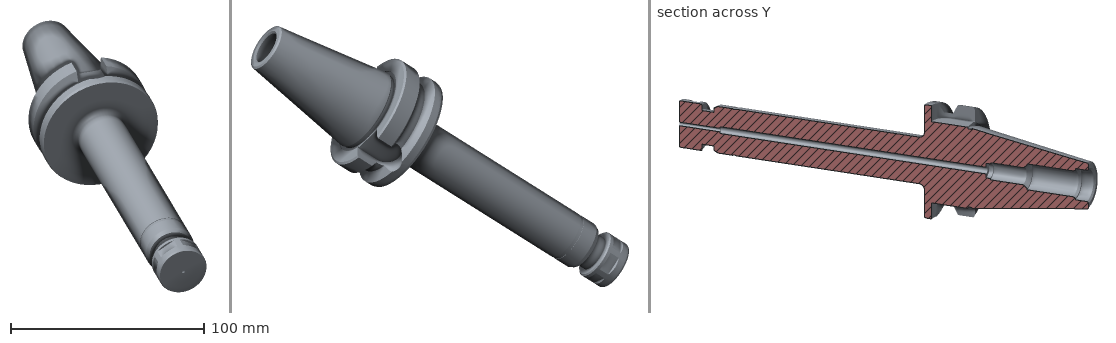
import cadquery as cq
import math


length = 230.5
gauge_x = 65.5
flange_x = 67.5
flange_end_x = 92.6
groove_center_x = 82.0
collar_x = 198.1
collar_width = 2.0
shank_end_x = 210.8
nut_x = 217.3

tip_radius = 12.7
tip_chamfer_length = 0.7
tip_chamfer_depth = 1.0
taper_slope = 7 / 48
taper_radius = tip_radius + gauge_x * taper_slope
undercut_depth = 0.5
undercut_radius = taper_radius - undercut_depth
undercut_slope = 0.7
face_recess_radius = 23.7
face_recess_depth = 0.5

flange_radius = 63.0 / 2
front_chamfer_length = 0.7
front_chamfer_depth = 1.2
rear_chamfer_length = 1.4
rear_chamfer_depth = 0.5
groove_radius = 26.5
groove_floor = 4.4
groove_wall_angle = 30
groove_run = (flange_radius - groove_radius) * math.tan(math.radians(groove_wall_angle))

slot_width = 16.1
slot_floor = 22.5
slot_end_x = 88.2

shank_radius = 26.0 / 2
shank_fillet = 2.8
collar_depth = 0.2
shank_chamfer_length = 2.3
shank_chamfer_depth = 1.2
neck_radius = 9.5

nut_radius = shank_radius
nut_back_chamfer = 0.7
nut_front_chamfer_length = 1.0
nut_front_chamfer_depth = 0.5
flat_count = 6
flat_apothem = 12.0
flat_x = 219.8
flat_end_x = 225.3
flat_runout = 0.7

mouth_radius = 9.5
entry_radius = 8.5
entry_depth = 7.4
thread_mouth_radius = 15.5 / 2
thread_chamfer_length = 1.4
thread_radius = 14.0 / 2
thread_depth = 34.5
seat_radius = 6.5
seat_end_radius = 4.5
seat_length = 2.3
pilot_end_radius = 4.0
pilot_depth = 55.3
channel_radius = 1.73
channel_depth = 207.4
outlet_radius = 0.85


def revolve_about_x(profile):
    return profile.close().revolve(360, (0, 0, 0), (1, 0, 0))


def turned_body():
    groove_start = groove_center_x - groove_floor / 2
    groove_stop = groove_center_x + groove_floor / 2
    fillet_top = shank_radius + shank_fillet
    fillet_mid = shank_fillet * (1 - math.sqrt(0.5))
    profile = (
        cq.Workplane("XY")
        .lineTo(0, tip_radius - tip_chamfer_depth)
        .lineTo(tip_chamfer_length, tip_radius + tip_chamfer_length * taper_slope)
        .lineTo(gauge_x, taper_radius)
        .lineTo(gauge_x + undercut_slope, undercut_radius)
        .lineTo(flange_x + face_recess_depth, undercut_radius)
        .lineTo(flange_x + face_recess_depth, face_recess_radius)
        .lineTo(flange_x, face_recess_radius)
        .lineTo(flange_x, flange_radius - front_chamfer_depth)
        .lineTo(flange_x + front_chamfer_length, flange_radius)
        .lineTo(groove_start - groove_run, flange_radius)
        .lineTo(groove_start, groove_radius)
        .lineTo(groove_stop, groove_radius)
        .lineTo(groove_stop + groove_run, flange_radius)
        .lineTo(flange_end_x - rear_chamfer_length, flange_radius)
        .lineTo(flange_end_x, flange_radius - rear_chamfer_depth)
        .lineTo(flange_end_x, fillet_top)
        .threePointArc(
            (flange_end_x + fillet_mid, shank_radius + fillet_mid),
            (flange_end_x + shank_fillet, shank_radius),
        )
        .lineTo(collar_x, shank_radius)
        .lineTo(collar_x, shank_radius - collar_depth)
        .lineTo(collar_x + collar_width, shank_radius - collar_depth)
        .lineTo(collar_x + collar_width, shank_radius)
        .lineTo(shank_end_x - shank_chamfer_length, shank_radius)
        .lineTo(shank_end_x, shank_radius - shank_chamfer_depth)
        .lineTo(shank_end_x, neck_radius)
        .lineTo(nut_x, neck_radius)
        .lineTo(nut_x, nut_radius - nut_back_chamfer)
        .lineTo(nut_x + nut_back_chamfer, nut_radius)
        .lineTo(length - nut_front_chamfer_length, nut_radius)
        .lineTo(length, nut_radius - nut_front_chamfer_depth)
        .lineTo(length, 0)
    )
    return revolve_about_x(profile)


def stepped_bore():
    mouth_chamfer = mouth_radius - entry_radius
    profile = (
        cq.Workplane("XY")
        .lineTo(0, mouth_radius)
        .lineTo(mouth_chamfer, entry_radius)
        .lineTo(entry_depth, entry_radius)
        .lineTo(entry_depth, thread_mouth_radius)
        .lineTo(entry_depth + thread_chamfer_length, thread_radius)
        .lineTo(thread_depth, thread_radius)
        .lineTo(thread_depth, seat_radius)
        .lineTo(thread_depth + seat_length, seat_end_radius)
        .lineTo(pilot_depth, seat_end_radius)
        .lineTo(pilot_depth, pilot_end_radius)
        .lineTo(pilot_depth + seat_length, pilot_end_radius)
        .lineTo(pilot_depth + seat_length, channel_radius)
        .lineTo(channel_depth, channel_radius)
        .lineTo(channel_depth, outlet_radius)
        .lineTo(length, outlet_radius)
        .lineTo(length, 0)
    )
    return revolve_about_x(profile)


def drive_slot():
    """Round-ended slot open toward the taper, on the +Z side."""
    half_width = slot_width / 2
    return (
        cq.Workplane("XY", origin=(0, 0, slot_floor))
        .moveTo(gauge_x, -half_width)
        .lineTo(slot_end_x - half_width, -half_width)
        .threePointArc((slot_end_x, 0), (slot_end_x - half_width, half_width))
        .lineTo(gauge_x, half_width)
        .close()
        .extrude(flange_radius)
    )


def nut_flat():
    """Cutter for one wrench flat, on the +Y side, with a sloped end wall."""
    cutter_top = 2 * nut_radius
    return (
        cq.Workplane("XY")
        .moveTo(flat_x, flat_apothem)
        .lineTo(flat_end_x, flat_apothem)
        .lineTo(flat_end_x + flat_runout, nut_radius)
        .lineTo(flat_end_x + flat_runout, cutter_top)
        .lineTo(flat_x, cutter_top)
        .close()
        .extrude(nut_radius, both=True)
    )


result = turned_body().cut(stepped_bore())

for angle in (0, 180):
    result = result.cut(drive_slot().rotate((0, 0, 0), (1, 0, 0), angle))

for i in range(flat_count):
    result = result.cut(nut_flat().rotate((0, 0, 0), (1, 0, 0), i * 360 / flat_count))